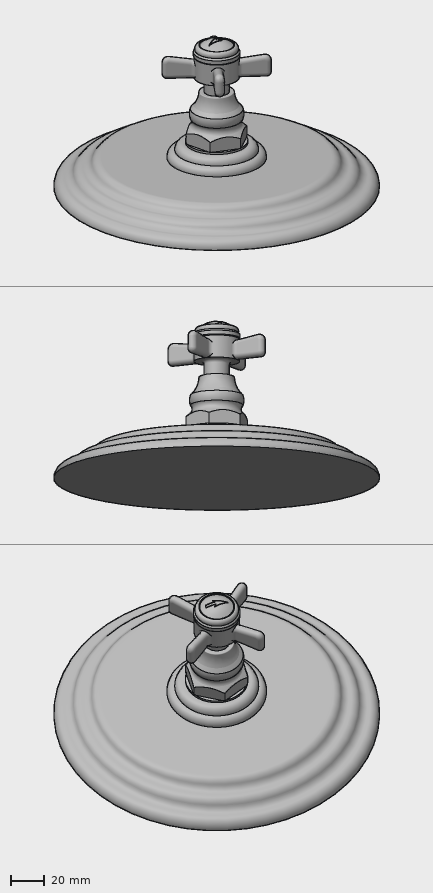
import cadquery as cq
import math

plate_top = 19.0
flange_step_z = 24.2
flange_top = 29.0
hex_bottom = 30.3
hex_corner_z = 36.8
hex_top = 39.8
waist_z = 42.7
bead_bottom = 44.9
bead_middle = 48.2
bead_top = 51.0
bell_bottom = 53.3
collar_top = 62.4
hub_bottom = 71.9
hub_top = 85.5
cap_bottom = 86.0
cap_band_top = 88.4
cap_shoulder = 89.5
lip_top = 93.0
dome_bottom = 92.7
total_height = 96.5

plate_radius = 98.5
plate_steps = [
    ((92.0, 6.5), (86.6, 9.5)),
    ((80.7, 13.0), (75.4, 16.0)),
]
plate_top_radius = 69.9

flange_radius = 30.1
flange_step_radius = 25.4
flange_top_radius = 20.5
washer_radius = 18.9

hex_across_flats = 33.7
hex_corner_radius = hex_across_flats / math.sqrt(3)

neck_radius = 16.0
waist_radius = 15.0
bead_radius = 16.5
bell_radius = 13.8
bell_middle_radius = 11.6
bell_middle_z = 57.7
collar_radius = 10.8
collar_rim_round = 0.5

stem_radius = 7.7
stem_flare = 2.0
hub_radius = 13.8
cap_radius = 14.2
shoulder_radius = 13.2
lip_radius = 10.8
dome_radius = 10.2

arm_count = 4
first_arm_angle = 45
arm_thickness = 5.7
arm_reach = 33.0
arm_bottom = hub_bottom
arm_tip_z = 86.5
arm_root_z = 83.7
arm_top_corner_round = 3.7
arm_bottom_corner_round = 3.0
arm_edge_round = 0.49 * arm_thickness
arm_root_fillet = 2.8

arrow_depth = 0.4
arrow_tail_y = 6.9
arrow_neck_y = 0.8
arrow_barb_y = 2.0
arrow_tip_y = -7.0
arrow_shaft_width = 2.0
arrow_head_width = 5.1


def rounded_step(profile, start, end):
    """Add a bulging arc up from start that runs out level at end."""
    run = start[0] - end[0]
    rise = end[1] - start[1]
    radius = (run**2 + rise**2) / (2 * rise)
    half_turn = math.atan2(rise, run)
    middle = (end[0] + radius * math.sin(half_turn), end[1] - radius * (1 - math.cos(half_turn)))
    return profile.threePointArc(middle, end)


def cove(profile, start, end):
    """Add a hollow arc that leaves start level and climbs to end."""
    run = start[0] - end[0]
    rise = end[1] - start[1]
    radius = (run**2 + rise**2) / (2 * rise)
    half_turn = math.atan2(rise, run)
    middle = (start[0] - radius * math.sin(half_turn), start[1] + radius * (1 - math.cos(half_turn)))
    return profile.threePointArc(middle, end)


def revolve_to_axis(profile, top_z):
    """Close an outline on the axis and revolve it about Z."""
    return profile.lineTo(0, top_z).close().revolve(360, (0, 0, 0), (0, 1, 0))


def make_plate():
    corner = (plate_radius, 0)
    profile = cq.Workplane("XZ").lineTo(*corner)
    for step_end, cove_end in plate_steps:
        profile = rounded_step(profile, corner, step_end)
        profile = cove(profile, step_end, cove_end)
        corner = cove_end
    profile = rounded_step(profile, corner, (plate_top_radius, plate_top))
    return revolve_to_axis(profile, plate_top)


def make_flange():
    lower_edge = (flange_radius, plate_top)
    step = (flange_step_radius, flange_step_z)
    top_edge = (flange_top_radius, flange_top)
    profile = cq.Workplane("XZ").lineTo(flange_radius, 0).lineTo(*lower_edge)
    profile = rounded_step(profile, lower_edge, step)
    profile = rounded_step(profile, step, top_edge)
    profile = profile.lineTo(washer_radius, flange_top).lineTo(washer_radius, hex_bottom)
    return revolve_to_axis(profile, hex_bottom)


def make_nut():
    """Hexagon with its top corners turned down to a cone."""
    prism = (
        cq.Workplane("XY", origin=(0, 0, hex_bottom))
        .polygon(6, 2 * hex_corner_radius)
        .extrude(hex_top - hex_bottom)
    )
    cone = (
        cq.Workplane("XZ")
        .moveTo(0, hex_bottom)
        .lineTo(hex_corner_radius, hex_bottom)
        .lineTo(hex_corner_radius, hex_corner_z)
        .lineTo(neck_radius, hex_top)
    )
    return prism.intersect(revolve_to_axis(cone, hex_top))


def make_collar():
    rim_z = collar_top - collar_rim_round
    profile = (
        cq.Workplane("XZ")
        .moveTo(0, hex_bottom)
        .lineTo(neck_radius, hex_bottom)
        .lineTo(neck_radius, hex_top)
        .threePointArc((waist_radius, waist_z), (neck_radius, bead_bottom))
        .threePointArc((bead_radius, bead_middle), (neck_radius, bead_top))
        .lineTo(bell_radius, bell_bottom)
        .threePointArc((bell_middle_radius, bell_middle_z), (collar_radius, rim_z))
    )
    rim_inner = (collar_radius - collar_rim_round, collar_top)
    profile = rounded_step(profile, (collar_radius, rim_z), rim_inner)
    return revolve_to_axis(profile, collar_top)


def make_stem_and_cap():
    flare_start = (stem_radius, hub_bottom - stem_flare)
    flare_end = (stem_radius + stem_flare, hub_bottom)
    flare_inset = stem_flare * (1 - math.sqrt(0.5))
    profile = (
        cq.Workplane("XZ")
        .moveTo(0, hex_bottom)
        .lineTo(stem_radius, hex_bottom)
        .lineTo(*flare_start)
        .threePointArc((stem_radius + flare_inset, hub_bottom - flare_inset), flare_end)
        .lineTo(hub_radius, hub_bottom)
        .lineTo(hub_radius, hub_top)
        .lineTo(cap_radius, cap_bottom)
        .lineTo(cap_radius, cap_band_top)
        .lineTo(shoulder_radius, cap_shoulder)
    )
    dome_edge = (dome_radius, dome_bottom)
    profile = rounded_step(profile, (shoulder_radius, cap_shoulder), (lip_radius, lip_top))
    profile = profile.lineTo(*dome_edge)
    profile = rounded_step(profile, dome_edge, (0, total_height))
    return profile.close().revolve(360, (0, 0, 0), (0, 1, 0))


def make_arm():
    """Arm along +X flaring into a hub-sized disc, rising to its tip, with every rim rounded."""
    half_width = arm_thickness / 2
    flare_centre_y = half_width + arm_root_fillet
    flare_centre_distance = hub_radius + arm_root_fillet
    flare_angle = math.asin(flare_centre_y / flare_centre_distance)
    flare_start_x = flare_centre_distance * math.cos(flare_angle)
    hub_x = hub_radius * math.cos(flare_angle)
    hub_y = hub_radius * math.sin(flare_angle)
    flare_middle_angle = (math.pi + flare_angle + 1.5 * math.pi) / 2
    flare_middle_x = flare_start_x + arm_root_fillet * math.cos(flare_middle_angle)
    flare_middle_y = flare_centre_y + arm_root_fillet * math.sin(flare_middle_angle)

    plan = (
        cq.Workplane("XY", origin=(0, 0, arm_bottom))
        .moveTo(arm_reach, -half_width)
        .lineTo(arm_reach, half_width)
        .lineTo(flare_start_x, half_width)
        .threePointArc((flare_middle_x, flare_middle_y), (hub_x, hub_y))
        .threePointArc((-hub_radius, 0), (hub_x, -hub_y))
        .threePointArc((flare_middle_x, -flare_middle_y), (flare_start_x, -half_width))
        .close()
        .extrude(arm_tip_z - arm_bottom)
    )
    slope = (arm_tip_z - arm_root_z) / (arm_reach - hub_radius)
    rear_z = arm_root_z - 2 * slope * hub_radius
    above_slope = (
        cq.Workplane("XZ")
        .moveTo(-hub_radius, rear_z)
        .lineTo(arm_reach, arm_tip_z)
        .lineTo(-hub_radius, arm_tip_z)
        .close()
        .extrude(hub_radius, both=True)
    )
    arm = plan.cut(above_slope)
    arm = arm.faces(">X").edges(">Z").fillet(arm_top_corner_round)
    arm = arm.faces(">X").edges("<Z").fillet(arm_bottom_corner_round)
    return arm.edges("not (|Y or |Z)").fillet(arm_edge_round)


def make_arrow():
    """Arrow-shaped sinking tool whose floor follows the dome."""
    half_shaft = arrow_shaft_width / 2
    half_head = arrow_head_width / 2
    prism = (
        cq.Workplane("XY", origin=(0, 0, dome_bottom))
        .moveTo(half_shaft, arrow_tail_y)
        .lineTo(half_shaft, arrow_neck_y)
        .lineTo(half_head, arrow_barb_y)
        .lineTo(0, arrow_tip_y)
        .lineTo(-half_head, arrow_barb_y)
        .lineTo(-half_shaft, arrow_neck_y)
        .lineTo(-half_shaft, arrow_tail_y)
        .close()
        .extrude(total_height - dome_bottom)
    )
    dome_rise = total_height - dome_bottom
    sphere_radius = (dome_radius**2 + dome_rise**2) / (2 * dome_rise)
    floor = cq.Workplane("XY", origin=(0, 0, total_height - sphere_radius)).sphere(
        sphere_radius - arrow_depth
    )
    return prism.cut(floor)


def make_handle():
    """Stem, hub and cap with the ring of arms and the pointer arrow."""
    handle = make_stem_and_cap()
    arm = make_arm()
    for index in range(arm_count):
        angle = first_arm_angle + index * 360 / arm_count
        handle = handle.union(arm.rotate((0, 0, 0), (0, 0, 1), angle))
    return handle.cut(make_arrow())


result = (
    make_plate()
    .union(make_flange())
    .union(make_nut())
    .union(make_collar())
    .union(make_handle())
)